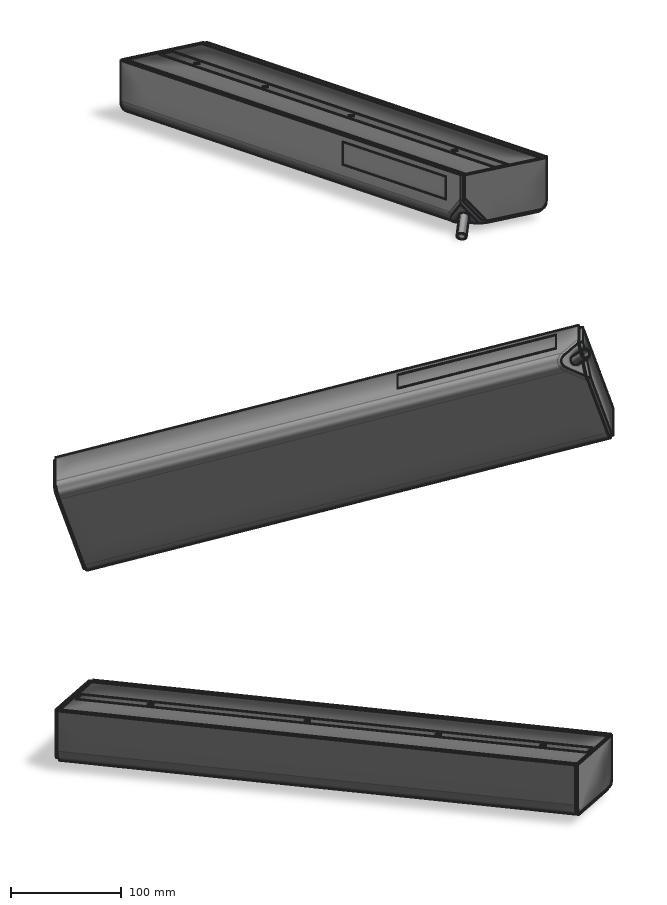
import cadquery as cq
import math

length = 500.0
width = length / 5
height = width / 2
bottom_radius = 12.0

cap_step = 3.0
cap_radius = 6.0
left_cap = 2.0
right_cap = 3.0

rim = 6.0
recess = 0.5

strip_width = 15.5
strip_gap = 3.0
screw_diameter = 5.0
screw_depth = 3.0
screw_places = (50.0, 150.0, 275.0, 425.0)

panel_left = 325.5
panel_length = 150.0
panel_height = 21.5
panel_drop = 6.0

corner_cut = 31.0
plate_thickness = 2.5
plate_bevel = 45

sleeve_diameter = 9.0
bore_diameter = 7.5
sleeve_overhang = 4.85

body_left = left_cap
body_length = length - left_cap - right_cap
diagonal = math.sqrt(3)
slant_depth = corner_cut / diagonal
overhang_depth = sleeve_overhang * diagonal


def block(x, y, z, dx, dy, dz):
    """Box with its lowest corner at x, y, z."""
    return cq.Workplane("XY").box(dx, dy, dz, centered=False).translate((x, y, z))


def trough(x, dx, step, radius):
    """Long block with rounded lower edges, stepped in from the sides and bottom."""
    blank = block(x, step, step, dx, width - 2 * step, height - step)
    return blank.edges("|X and <Z").fillet(radius)


def diagonal_plane(distance):
    """Workplane facing outward along the corner diagonal, distance beyond the sharp corner."""
    shift = distance / diagonal
    return cq.Workplane(
        cq.Plane(origin=(length + shift, -shift, -shift), xDir=(1, 1, 0), normal=(1, -1, -1))
    )


def make_main():
    return trough(body_left, body_length, 0, bottom_radius)


def cut_corner(body):
    cutter_size = 4 * corner_cut
    cutter = diagonal_plane(-slant_depth).rect(cutter_size, cutter_size).extrude(2 * slant_depth)
    return body.cut(cutter)


def make_plate():
    """Bevelled plate that covers the slanted face of the main body."""
    facing_out = cq.selectors.ParallelDirSelector(cq.Vector(1, -1, -1))
    slanted_face = cut_corner(make_main()).faces(facing_out)
    outline = slanted_face.wires().toPending().workplane()
    return outline.extrude(plate_thickness, taper=plate_bevel, combine=False)


def diagonal_rod(diameter):
    """Rod along the corner diagonal, from the slanted face to the sleeve end."""
    return diagonal_plane(-slant_depth).circle(diameter / 2).extrude(slant_depth + overhang_depth)


def make_lid_recess():
    return block(body_left, rim, height - recess, body_length, width - 2 * rim, recess)


def make_strip_recess():
    """Groove let into the floor of the lid recess."""
    strip_length = body_length - 2 * strip_gap
    strip_front = (width - strip_width) / 2
    strip_floor = height - 2 * recess
    return block(body_left + strip_gap, strip_front, strip_floor, strip_length, strip_width, recess)


def make_screw_holes():
    centers = [(x, width / 2) for x in screw_places]
    top = cq.Workplane("XY").workplane(offset=height)
    return top.pushPoints(centers).circle(screw_diameter / 2).extrude(-screw_depth)


def make_panel_recess():
    panel_bottom = height - panel_drop - panel_height
    return block(panel_left, 0, panel_bottom, panel_length, recess, panel_height)


end_caps = trough(0, length, cap_step, cap_radius)
body = make_main().union(end_caps)

body = body.cut(make_lid_recess()).cut(make_strip_recess())
body = body.cut(make_screw_holes()).cut(make_panel_recess())

body = cut_corner(body).union(make_plate())
result = body.union(diagonal_rod(sleeve_diameter)).cut(diagonal_rod(bore_diameter))